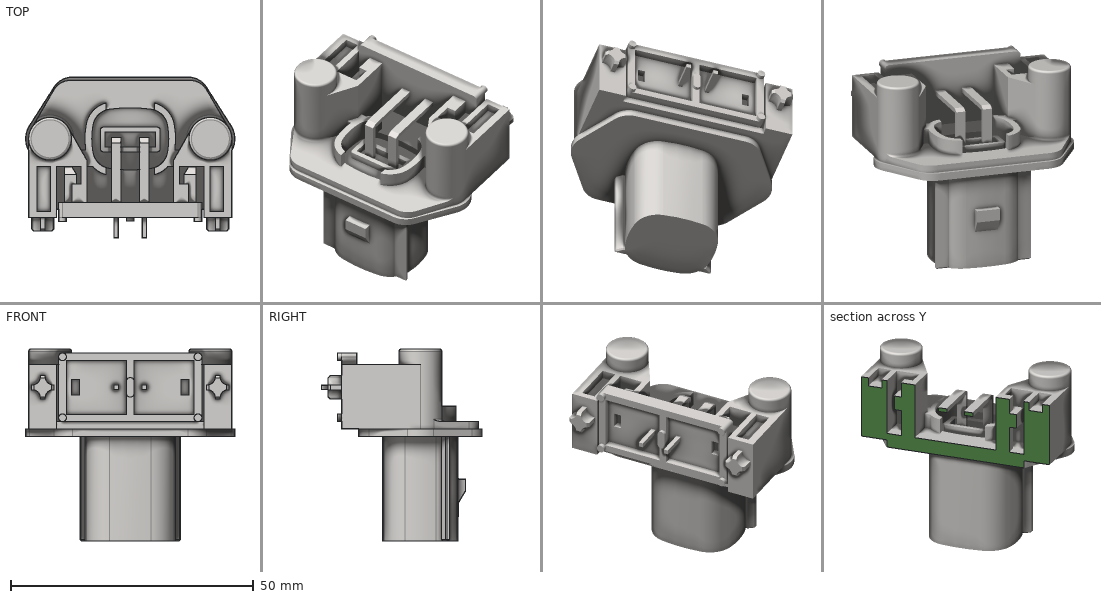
import cadquery as cq
import math

FLANGE_TOP = 1.58
BASE_TOP = 3.14
COLLAR_TOP = 6.27
BLOCK_TOP = 14.9
BOSS_TOP = 18.11
TUBE_BOTTOM = -21.55
CONTACT_Z = 10.17

FLANGE_HALF_X = 21.59
FLANGE_HALF_Y = 12.75
FLANGE_SIDE_R = 5.0
FLANGE_CORNER_X = 11.9
FLANGE_CORNER_R = 4.55
BASE_CORNER_X = 12.4
BASE_CORNER_R = 3.9
BASE_BACK_Y = 12.03
BASE_FRONT_Y = -14.55

BOSS_X = 16.54
BOSS_R = 4.42
BASE_SIDE_INSET = 0.05
BASE_SIDE_R = BOSS_R - BASE_SIDE_INSET
BOSS_EDGE_R = 0.5
BOSS_FOOT_R = 0.5
BLOCK_OUTER_X = BOSS_X + BOSS_R
BLOCK_INNER_X = 8.95
BLOCK_INNER_BACK_Y = -4.4
LEG_INNER_X = 15.18
FRONT_Y = -16.24
LEG_SLOT_X = (16.41, 19.29)
LEG_SLOT_FRONT_Y = -15.0
LEG_SLOT_DEPTH = 1.8
POCKET_BACK_Y = -5.68
POCKET_INNER_X = 10.2
CATCH_Y = -9.32
CATCH_INNER_X = 12.06

FRAME_BACK_Y = -13.13
FRAME_HALF_X = 14.78
FRAME_BOTTOM = 3.08
FRAME_TOP = 17.27
FRAME_CORNER_R = 0.8
FRAME_PIN_LENGTH = 0.87
PANEL_HALF_X = 13.2
PANEL_Z = (4.53, 15.7)
PANEL_DEPTH = 1.6
MIDDLE_RIB_HALF = 0.78
MIDDLE_PAD_HEIGHT = 4.03
MIDDLE_PAD_LENGTH = 0.72
WINDOW_X = (10.49, 12.08)
WINDOW_HALF_HEIGHT = 1.57

LATCH_OUTER_X = 13.6
LATCH_TIP_Y = -5.78
LATCH_RAMP_Y = -7.37
LATCH_HOOK_X = 11.07
LATCH_TIP_DROP = 0.8

STAR_X = 18.05
STAR_HALF_X = 2.31
STAR_HALF_Z = 2.45
STAR_ARM_HALF = 0.5
STAR_ARM_FLAT = 0.28
STAR_WAIST = 1.0
STAR_LENGTH = 2.83
STAR_CHAMFER = 0.5

CONTACT_X = 2.9
CONTACT_WIDTH = 1.98
CONTACT_THICKNESS = 0.94
CONTACT_BACK_Y = 0.28
CONTACT_BEND = 1.13
PIN_TIP_Y = -20.45

OVAL_HALF_X = 9.35
OVAL_HALF_Y = 7.82
OVAL_CORNER_X = 3.7
OVAL_CORNER_Y = 2.11
OVAL_CORNER_R = 5.44
OVAL_SIDE_ANGLE = 11.3
OVAL_TOP_ANGLE = 83.8
WALL = 1.4
COLLAR_GAP_HALF_X = 5.0
LUG_BACK_Y = -2.29
RIM_HALF_X = 6.16
RIM_Y = (-2.68, 2.4)
RIM_CORNER_R = 0.6
RIM_WALL = 0.97

KEY_OUTER_X = 10.36
KEY_BACK_Y = 5.99
KEY_FACE_Y = 5.5
KEY_EDGE = (10.18, 5.2)
KEY_ROOT = (9.1, 4.37)
KEY_INSIDE_X = 6.0
KEY_CHAMFER = 0.3
TAB_WIDTH = 5.0
TAB_BACK_Y = 9.32
TAB_Z = (-13.7, -11.2, -8.75)

SIDES = (-1, 1)


def box(x_range, y_range, z_range):
    """Axis-aligned box between pairs of limits."""
    size = [abs(limits[1] - limits[0]) for limits in (x_range, y_range, z_range)]
    corner = (min(x_range), min(y_range), min(z_range))
    return cq.Workplane("XY").box(*size, centered=False).translate(corner)


def prism(points, bottom, top):
    """Vertical prism over a polygon."""
    return cq.Workplane("XY").workplane(offset=bottom).polyline(points).close().extrude(top - bottom)


def cylinder_z(x, y, radius, bottom, top):
    return cq.Workplane("XY").workplane(offset=bottom).center(x, y).circle(radius).extrude(top - bottom)


def mirror_x(points, side):
    return [(side * x, y) for x, y in points]


def hull_of_circles(circles, bottom, top):
    """Prism over the belt around circles (x, y, radius) listed counter-clockwise."""
    normals = []
    for index, (x, y, radius) in enumerate(circles):
        next_x, next_y, next_radius = circles[(index + 1) % len(circles)]
        span = math.hypot(next_x - x, next_y - y)
        direction = math.atan2(next_y - y, next_x - x)
        normals.append(direction - math.acos((radius - next_radius) / span))

    def rim(circle, angle):
        x, y, radius = circle
        return (x + radius * math.cos(angle), y + radius * math.sin(angle))

    outline = cq.Workplane("XY").workplane(offset=bottom).moveTo(*rim(circles[0], normals[-1]))
    for index, circle in enumerate(circles):
        start = normals[index - 1]
        sweep = (normals[index] - start) % (2 * math.pi)
        middle = rim(circle, start + sweep / 2)
        outline = outline.threePointArc(middle, rim(circle, start + sweep))
        following = (index + 1) % len(circles)
        outline = outline.lineTo(*rim(circles[following], normals[index])) if following else outline.close()
    return outline.extrude(top - bottom)


def oval(inset, bottom, top):
    """Prism over the four-cornered oval: bulging sides joined by corner arcs."""

    def corner(angle, x_sign, y_sign):
        x = OVAL_CORNER_X + OVAL_CORNER_R * math.cos(math.radians(angle))
        y = OVAL_CORNER_Y + OVAL_CORNER_R * math.sin(math.radians(angle))
        return (x_sign * x, y_sign * y)

    low, high = OVAL_SIDE_ANGLE, OVAL_TOP_ANGLE
    middle = (low + high) / 2
    outline = (
        cq.Workplane("XY").workplane(offset=bottom).moveTo(*corner(low, 1, -1))
        .threePointArc((OVAL_HALF_X, 0), corner(low, 1, 1))
        .threePointArc(corner(middle, 1, 1), corner(high, 1, 1))
        .threePointArc((0, OVAL_HALF_Y), corner(high, -1, 1))
        .threePointArc(corner(middle, -1, 1), corner(low, -1, 1))
        .threePointArc((-OVAL_HALF_X, 0), corner(low, -1, -1))
        .threePointArc(corner(middle, -1, -1), corner(high, -1, -1))
        .threePointArc((0, -OVAL_HALF_Y), corner(high, 1, -1))
        .threePointArc(corner(middle, 1, -1), corner(low, 1, -1))
        .close()
    )
    if inset:
        outline = outline.offset2D(-inset)
    return outline.extrude(top - bottom)


def make_flange():
    side_x = FLANGE_HALF_X - FLANGE_SIDE_R
    corner_y = FLANGE_HALF_Y - FLANGE_CORNER_R
    circles = [
        (side_x, 0, FLANGE_SIDE_R),
        (FLANGE_CORNER_X, corner_y, FLANGE_CORNER_R),
        (-FLANGE_CORNER_X, corner_y, FLANGE_CORNER_R),
        (-side_x, 0, FLANGE_SIDE_R),
        (-FLANGE_CORNER_X, -corner_y, FLANGE_CORNER_R),
        (FLANGE_CORNER_X, -corner_y, FLANGE_CORNER_R),
    ]
    return hull_of_circles(circles, 0, FLANGE_TOP)


def base_outline(bottom, top):
    corner_y = BASE_BACK_Y - BASE_CORNER_R
    circles = [
        (BOSS_X, 0, BASE_SIDE_R),
        (BASE_CORNER_X, corner_y, BASE_CORNER_R),
        (-BASE_CORNER_X, corner_y, BASE_CORNER_R),
        (-BOSS_X, 0, BASE_SIDE_R),
    ]
    return hull_of_circles(circles, bottom, top)


def make_base_plate():
    front = box((-LEG_INNER_X, LEG_INNER_X), (BASE_FRONT_Y, 0), (FLANGE_TOP, BASE_TOP))
    return base_outline(FLANGE_TOP, BASE_TOP).union(front)


def make_boss_foot(side):
    """Concave fillet around a boss, kept within the base plate outline."""
    outer = BOSS_R + BOSS_FOOT_R
    inner = BOSS_R - BOSS_FOOT_R
    foot_top = BASE_TOP + BOSS_FOOT_R
    bulge = BOSS_FOOT_R * (1 - math.sqrt(0.5))
    ring = (
        cq.Workplane("XZ")
        .moveTo(inner, BASE_TOP)
        .lineTo(outer, BASE_TOP)
        .threePointArc((BOSS_R + bulge, BASE_TOP + bulge), (BOSS_R, foot_top))
        .lineTo(inner, foot_top)
        .close()
        .revolve(360, (0, 0, 0), (0, 1, 0))
        .translate((side * BOSS_X, 0, 0))
    )
    return ring.intersect(base_outline(BASE_TOP, foot_top))


def make_tube():
    tube = oval(0, TUBE_BOTTOM, 0)
    for side in SIDES:
        outline = [
            (KEY_INSIDE_X, KEY_BACK_Y),
            (KEY_OUTER_X, KEY_BACK_Y),
            (KEY_OUTER_X, KEY_FACE_Y),
            KEY_EDGE,
            KEY_ROOT,
            (KEY_INSIDE_X, KEY_ROOT[1]),
        ]
        key = prism(mirror_x(outline, side), TUBE_BOTTOM, 0)
        tube = tube.union(key.faces("<Z").chamfer(KEY_CHAMFER))
    bottom, ramp_end, top = TAB_Z
    tab_profile = [(0, top), (TAB_BACK_Y, top), (TAB_BACK_Y, ramp_end), (OVAL_HALF_Y, bottom), (0, bottom)]
    tab = cq.Workplane("YZ").polyline(tab_profile).close().extrude(TAB_WIDTH / 2, both=True)
    return tube.union(tab)


def make_collar():
    collar = oval(0, BASE_TOP, COLLAR_TOP)
    lug = box((-POCKET_INNER_X, POCKET_INNER_X), (POCKET_BACK_Y, LUG_BACK_Y), (BASE_TOP, COLLAR_TOP))
    gap = box(
        (-COLLAR_GAP_HALF_X, COLLAR_GAP_HALF_X), (-OVAL_HALF_Y, OVAL_HALF_Y), (BASE_TOP, COLLAR_TOP)
    )
    return collar.union(lug).cut(gap)


def make_rim():
    """Rounded rectangular rim around the contact feet, standing in the well."""
    x_range = (-RIM_HALF_X, RIM_HALF_X)
    rim = box(x_range, RIM_Y, (FLANGE_TOP, BASE_TOP)).edges("|Z").fillet(RIM_CORNER_R)
    opening = box(
        (-RIM_HALF_X + RIM_WALL, RIM_HALF_X - RIM_WALL),
        (RIM_Y[0] + RIM_WALL, RIM_Y[1] - RIM_WALL),
        (FLANGE_TOP, BASE_TOP),
    )
    return rim.cut(opening)


def make_left_block():
    to_x = BLOCK_INNER_X - BOSS_X
    angle = math.atan2(BLOCK_INNER_BACK_Y, to_x) - math.acos(BOSS_R / math.hypot(to_x, BLOCK_INNER_BACK_Y))
    tangent = (BOSS_X + BOSS_R * math.cos(angle), BOSS_R * math.sin(angle))
    outline = [
        (BLOCK_OUTER_X, 0),
        (BLOCK_OUTER_X, FRONT_Y),
        (LEG_INNER_X, FRONT_Y),
        (LEG_INNER_X, POCKET_BACK_Y),
        (POCKET_INNER_X, POCKET_BACK_Y),
        (POCKET_INNER_X, CATCH_Y),
        (CATCH_INNER_X, CATCH_Y),
        (CATCH_INNER_X, FRAME_BACK_Y),
        (BLOCK_INNER_X, FRAME_BACK_Y),
        (BLOCK_INNER_X, BLOCK_INNER_BACK_Y),
        tangent,
        (BOSS_X, 0),
    ]
    block = prism(mirror_x(outline, -1), FLANGE_TOP, BLOCK_TOP)
    slot = box(
        [-x for x in LEG_SLOT_X],
        (LEG_SLOT_FRONT_Y, POCKET_BACK_Y),
        (BLOCK_TOP - LEG_SLOT_DEPTH, BLOCK_TOP),
    )
    boss = cylinder_z(-BOSS_X, 0, BOSS_R, FLANGE_TOP, BOSS_TOP).faces(">Z").edges().fillet(BOSS_EDGE_R)
    return block.cut(slot).union(boss)


def make_star_peg(side):
    corners = [(1, 1), (-1, 1), (-1, -1), (1, -1)]
    arc_x = STAR_HALF_X - STAR_ARM_FLAT
    arc_z = STAR_HALF_Z - STAR_ARM_FLAT
    star = cq.Workplane("XZ", origin=(0, FRONT_Y, 0)).moveTo(STAR_HALF_X, -STAR_ARM_HALF)
    for x_sign, z_sign in corners:
        path = [
            (STAR_HALF_X, STAR_ARM_HALF),
            (arc_x, STAR_ARM_HALF),
            (STAR_WAIST, STAR_WAIST),
            (STAR_ARM_HALF, arc_z),
            (STAR_ARM_HALF, STAR_HALF_Z),
        ]
        path = [(x_sign * x, z_sign * z) for x, z in path]
        if x_sign != z_sign:
            path.reverse()
        tip, arc_start, waist, arc_end, next_tip = path
        star = star.lineTo(*tip).lineTo(*arc_start).threePointArc(waist, arc_end).lineTo(*next_tip)
    star = star.close().extrude(STAR_LENGTH)
    envelope = (
        cq.Workplane("XZ", origin=(0, FRONT_Y, 0))
        .rect(2 * STAR_HALF_X, 2 * STAR_HALF_Z)
        .extrude(STAR_LENGTH)
        .faces("<Y")
        .chamfer(STAR_CHAMFER)
    )
    return star.intersect(envelope).translate((side * STAR_X, 0, CONTACT_Z))


def make_frame():
    frame = box((-FRAME_HALF_X, FRAME_HALF_X), (FRONT_Y, FRAME_BACK_Y), (FRAME_BOTTOM, FRAME_TOP))
    frame = frame.edges("|Y").fillet(FRAME_CORNER_R)
    for side in SIDES:
        panel = box(
            (side * MIDDLE_RIB_HALF, side * PANEL_HALF_X), (FRONT_Y, FRONT_Y + PANEL_DEPTH), PANEL_Z
        )
        window = box(
            [side * x for x in WINDOW_X],
            (FRONT_Y, FRAME_BACK_Y),
            (CONTACT_Z - WINDOW_HALF_HEIGHT, CONTACT_Z + WINDOW_HALF_HEIGHT),
        )
        frame = frame.cut(panel).cut(window)
    pin_x = FRAME_HALF_X - FRAME_CORNER_R
    pin_levels = (FRAME_BOTTOM + FRAME_CORNER_R, FRAME_TOP - FRAME_CORNER_R)
    pins = (
        cq.Workplane("XZ", origin=(0, FRAME_BACK_Y, 0))
        .pushPoints([(side * pin_x, level) for side in SIDES for level in pin_levels])
        .circle(FRAME_CORNER_R)
        .extrude(FRAME_BACK_Y - FRONT_Y + FRAME_PIN_LENGTH)
    )
    pad = (
        cq.Workplane("XZ", origin=(0, FRAME_BACK_Y, CONTACT_Z))
        .slot2D(MIDDLE_PAD_HEIGHT, 2 * MIDDLE_RIB_HALF, 90)
        .extrude(FRAME_BACK_Y - FRONT_Y + MIDDLE_PAD_LENGTH)
    )
    return frame.union(pins).union(pad)


def make_latch(side):
    outline = [
        (LATCH_OUTER_X, FRAME_BACK_Y),
        (LATCH_OUTER_X, LATCH_TIP_Y),
        (CATCH_INNER_X, LATCH_TIP_Y),
        (LATCH_HOOK_X, LATCH_RAMP_Y),
        (LATCH_HOOK_X, CATCH_Y),
        (CATCH_INNER_X, CATCH_Y),
        (CATCH_INNER_X, FRAME_BACK_Y),
    ]
    bottom = CONTACT_Z - WINDOW_HALF_HEIGHT
    top = CONTACT_Z + WINDOW_HALF_HEIGHT
    profile = [
        (FRAME_BACK_Y, bottom),
        (FRAME_BACK_Y, top),
        (LATCH_RAMP_Y, top),
        (LATCH_TIP_Y, top - LATCH_TIP_DROP),
        (LATCH_TIP_Y, bottom + LATCH_TIP_DROP),
        (LATCH_RAMP_Y, bottom),
    ]
    wedge = cq.Workplane("YZ").polyline(profile).close().extrude(side * LATCH_OUTER_X)
    return prism(mirror_x(outline, side), bottom, top).intersect(wedge)


def make_contact(side):
    half = CONTACT_THICKNESS / 2
    bottom = CONTACT_Z - half
    top = CONTACT_Z + half
    leg_front_y = CONTACT_BACK_Y - CONTACT_THICKNESS
    profile = [
        (FRAME_BACK_Y, bottom),
        (FRAME_BACK_Y, top),
        (CONTACT_BACK_Y - CONTACT_BEND, top),
        (CONTACT_BACK_Y, top - CONTACT_BEND / 2),
        (CONTACT_BACK_Y, FLANGE_TOP),
        (leg_front_y, FLANGE_TOP),
        (leg_front_y, bottom),
    ]
    strip = cq.Workplane("YZ").polyline(profile).close().extrude(CONTACT_WIDTH / 2, both=True)
    pin = box((-half, half), (PIN_TIP_Y, FRAME_BACK_Y), (bottom, top))
    return strip.union(pin).translate((side * CONTACT_X, 0, 0))


left_block = make_left_block()
result = make_base_plate().union(left_block).union(left_block.mirror("YZ"))
for side in SIDES:
    result = result.union(make_boss_foot(side)).union(make_star_peg(side))
result = result.union(make_flange()).union(make_tube()).union(make_collar())
result = result.cut(oval(WALL, FLANGE_TOP, COLLAR_TOP))
result = result.union(make_rim()).union(make_frame())
for side in SIDES:
    result = result.union(make_latch(side)).union(make_contact(side))